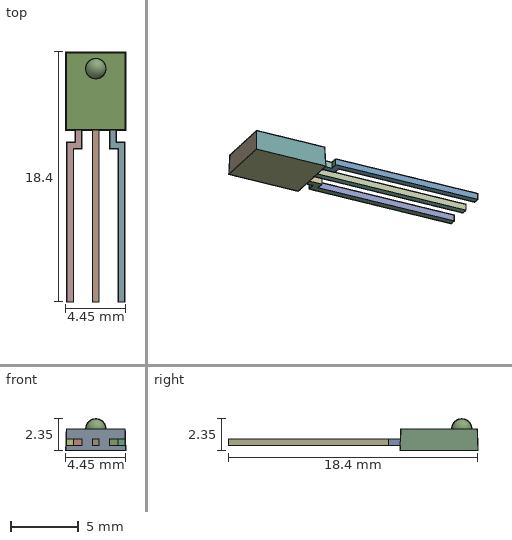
import cadquery as cq
import math

body_width = 4.445
body_length = 5.765
body_height = 1.6
side_lean = 0.055
draft_angle = math.degrees(math.atan(side_lean / body_height))

lens_radius = 0.75
lens_from_back = 1.21

lead_size = 0.5
lead_length = 12.645
lead_bottom = 0.36
inner_pitch = 1.27
outer_pitch = 1.89
jog_start = 0.855
lead_embed = 0.25

body_front = -body_length
lead_root = body_front + lead_embed
lead_tip = body_front - lead_length


def make_body():
    return (
        cq.Workplane("XY")
        .center(0, -body_length / 2)
        .rect(body_width, body_length)
        .extrude(body_height, taper=draft_angle)
    )


def make_lens():
    """Sphere centred on the top face; its upper half is the dome."""
    return cq.Workplane("XY").sphere(lens_radius).translate((0, -lens_from_back, body_height))


def extrude_lead(outline):
    return (
        cq.Workplane("XY")
        .workplane(offset=lead_bottom)
        .polyline(outline)
        .close()
        .extrude(lead_size)
    )


def make_straight_lead():
    half = lead_size / 2
    return extrude_lead([(-half, lead_root), (half, lead_root), (half, lead_tip), (-half, lead_tip)])


def make_jogged_lead(side):
    """Lead that steps outwards; side is +1 for the +X lead and -1 for the -X lead."""
    half = lead_size / 2
    jog_top = body_front - jog_start
    jog_bottom = jog_top - lead_size
    root_inner = side * (inner_pitch - half)
    root_outer = side * (inner_pitch + half)
    tip_inner = side * (outer_pitch - half)
    tip_outer = side * (outer_pitch + half)
    return extrude_lead(
        [
            (root_inner, lead_root),
            (root_outer, lead_root),
            (root_outer, jog_top),
            (tip_outer, jog_top),
            (tip_outer, lead_tip),
            (tip_inner, lead_tip),
            (tip_inner, jog_bottom),
            (root_inner, jog_bottom),
        ]
    )


result = make_body().union(make_lens()).union(make_straight_lead())
for side in (-1, 1):
    result = result.union(make_jogged_lead(side))